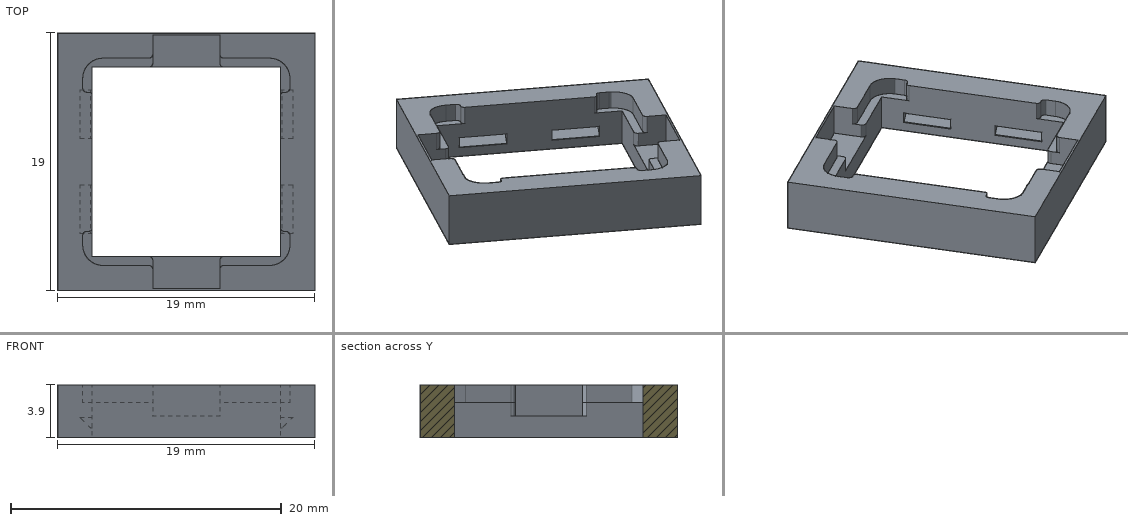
import cadquery as cq

outer_side = 19.0
height = 3.9
opening_width = 13.89
opening_length = 13.96

ledge_side = 15.3
ledge_depth = 1.3
ledge_corner_radius = 1.5
ledge_end = 5.13
ledge_end_radius = 0.3
lip_radius = 0.25

notch_width = 4.94
notch_depth = 2.3
notch_outer_wall = 0.15
notch_edge_radius = 0.3

slot_length = 3.6
slot_center = 3.5
slot_bottom = 0.7
slot_height = 0.8
slot_sill = 0.11
slot_depth = slot_sill + slot_height

half_opening_width = opening_width / 2
half_opening_length = opening_length / 2
half_ledge = ledge_side / 2
ledge_floor = height - ledge_depth
notch_floor = height - notch_depth


def box_between(x_range, y_range, z_range):
    """Axis-aligned box given by its limits along X, Y and Z."""
    (x0, x1), (y0, y1), (z0, z1) = x_range, y_range, z_range
    return cq.Workplane("XY").box(x1 - x0, y1 - y0, z1 - z0, centered=False).translate((x0, y0, z0))


def make_frame():
    frame = cq.Workplane("XY").rect(outer_side, outer_side).rect(opening_width, opening_length)
    return frame.extrude(height)


def make_ledge_recess():
    """Recess across the +Y side, reaching around both corners of the opening."""
    recess = box_between((-half_ledge, half_ledge), (ledge_end, half_ledge), (ledge_floor, height))
    recess = recess.edges("|Z and >Y").fillet(ledge_corner_radius)
    return recess.edges("|Z and <Y").fillet(ledge_end_radius)


def make_notch():
    """Deep notch in the +Y wall, open to the opening and the top."""
    half_notch = notch_width / 2
    notch_end = outer_side / 2 - notch_outer_wall
    return box_between((-half_notch, half_notch), (0, notch_end), (notch_floor, height))


def make_slot(center_y):
    """Slot in the +X wall with a flat roof, a narrow sill and a slope rising to meet it."""
    slot_top = slot_bottom + slot_height
    profile = [
        (half_opening_width, slot_bottom),
        (half_opening_width + slot_sill, slot_bottom),
        (half_opening_width + slot_depth, slot_top),
        (half_opening_width, slot_top),
    ]
    slot = cq.Workplane("XZ").polyline(profile).close().extrude(slot_length / 2, both=True)
    return slot.translate((0, center_y, 0))


def round_vertical_edges(body, points, radius):
    """Fillet the vertical edges centred at the given points."""
    for point in points:
        body = body.edges(cq.selectors.NearestToPointSelector(point)).fillet(radius)
    return body


result = make_frame()

for turn in (0, 180):
    for cutter in (make_ledge_recess(), make_notch()):
        result = result.cut(cutter.rotate((0, 0, 0), (0, 0, 1), turn))
    for side in (-1, 1):
        slot = make_slot(side * slot_center)
        result = result.cut(slot.rotate((0, 0, 0), (0, 0, 1), turn))

upper_edge_z = height - ledge_depth / 2
lower_edge_z = (ledge_floor + notch_floor) / 2
for x_sign in (-1, 1):
    for y_sign in (-1, 1):
        notch_x = x_sign * notch_width / 2
        notch_edges = [
            (notch_x, y_sign * half_ledge, upper_edge_z),
            (notch_x, y_sign * half_opening_length, lower_edge_z),
        ]
        result = round_vertical_edges(result, notch_edges, notch_edge_radius)
        lip_edges = [(x_sign * half_opening_width, y_sign * ledge_end, upper_edge_z)]
        result = round_vertical_edges(result, lip_edges, lip_radius)